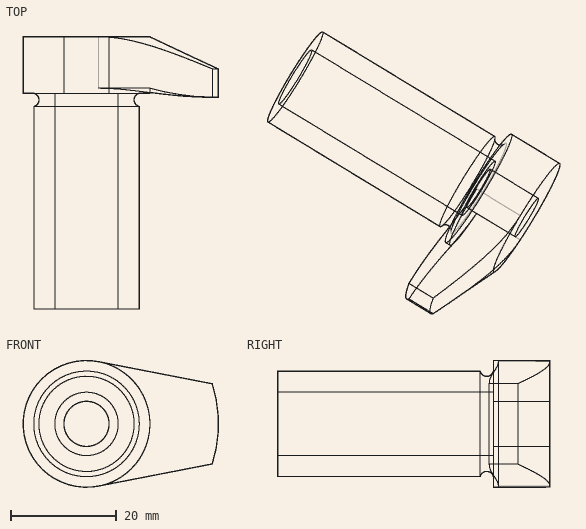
import cadquery as cq
import math

total_length = 51.5
head_diameter = 24.0
head_height = 10.7
shaft_diameter = 20.0

groove_width = 2.45
groove_depth = 1.0

bore_diameter = 8.5
counterbore_diameter = 12.0

arm_reach = 25.0
arm_taper = 11.0
arm_tip_outer_drop = 6.1
arm_root_underside = 9.75
arm_tip_underside = 11.5

head_radius = head_diameter / 2
shaft_radius = shaft_diameter / 2
shaft_start = -(head_height + groove_width)


def revolve_about_y(profile):
    """Turn a closed XY profile into a full body of revolution about Y."""
    return profile.close().revolve(360, (0, 0, 0), (0, 1, 0))


def make_head_and_shaft():
    """Round head and shaft separated by a rounded relief groove."""
    return revolve_about_y(
        cq.Workplane("XY")
        .lineTo(head_radius, 0)
        .lineTo(head_radius, -head_height)
        .lineTo(shaft_radius, -head_height)
        .threePointArc(
            (shaft_radius - groove_depth, -head_height - groove_width / 2),
            (shaft_radius, shaft_start),
        )
        .lineTo(shaft_radius, -total_length)
        .lineTo(0, -total_length)
    )


def make_arm():
    """Tapered arm: a turned blank trimmed by two sides tangent to the head."""
    arc_span = arm_reach - head_radius
    arc_rise = arm_tip_underside - arm_root_underside
    arc_radius = (arc_span**2 + arc_rise**2) / (2 * arc_rise)
    half_angle = math.asin(arc_span / arc_radius) / 2
    arc_middle = (
        arm_reach - arc_radius * math.sin(half_angle),
        -arm_tip_underside + arc_radius * (1 - math.cos(half_angle)),
    )
    blank = revolve_about_y(
        cq.Workplane("XY")
        .lineTo(head_radius, 0)
        .lineTo(arm_reach, -arm_tip_outer_drop)
        .lineTo(arm_reach, -arm_tip_underside)
        .threePointArc(arc_middle, (head_radius, -arm_root_underside))
        .lineTo(0, -arm_root_underside)
    )

    taper = math.radians(arm_taper)
    tangent_x = head_radius * math.sin(taper)
    tangent_z = head_radius * math.cos(taper)
    end_z = tangent_z - (arm_reach - tangent_x) * math.tan(taper)
    outline = (
        cq.Workplane("XZ")
        .polyline([
            (tangent_x, -tangent_z),
            (arm_reach, -end_z),
            (arm_reach, end_z),
            (tangent_x, tangent_z),
        ])
        .close()
        .extrude(arm_tip_underside)
    )
    return blank.intersect(outline)


def make_bore():
    """Through bore, widened along the whole shaft and groove up to the head."""
    through = cq.Workplane("XZ").circle(bore_diameter / 2).extrude(total_length)
    counterbore = (
        cq.Workplane("XZ")
        .workplane(offset=head_height)
        .circle(counterbore_diameter / 2)
        .extrude(total_length - head_height)
    )
    return through.union(counterbore)


result = make_head_and_shaft().union(make_arm()).cut(make_bore())